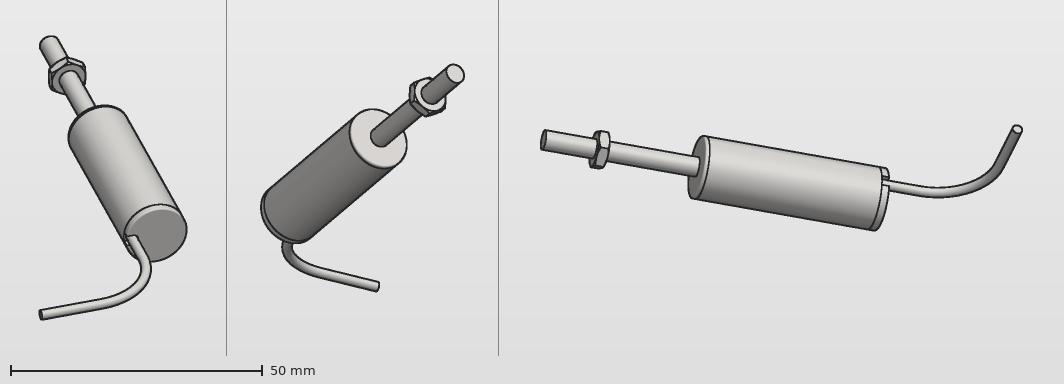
import cadquery as cq
import math


rod_diameter = 4.0
rod_exposed_length = 31.75
rod_insertion = 6.0

nut_across_flats = 7.0
nut_thickness = 2.2
nut_start = 10.5
nut_chamfer_angle = 30.0
nut_sides = 6

housing_diameter = 12.7
body_length = 38.1
front_cap_thickness = 0.8
front_cap_rounding = 0.4
rear_cap_thickness = 1.6
rear_cap_rounding = 0.3

cable_diameter = 2.0
cable_offset = 4.95
cable_end_x = 89.14
cable_bend_radius = 12.7
cable_tail_length = 12.7
cable_slot_width = 2.2

housing_radius = housing_diameter / 2
body_start = rod_exposed_length
housing_start = body_start + front_cap_thickness
body_end = body_start + body_length
housing_end = body_end - rear_cap_thickness


def cylinder_along_x(start, length, diameter):
    """Solid cylinder on the X axis."""
    return cq.Workplane("YZ", origin=(start, 0, 0)).circle(diameter / 2).extrude(length)


def make_rod():
    """Plain rod that enters the front of the housing."""
    return cylinder_along_x(0, rod_exposed_length + rod_insertion, rod_diameter)


def make_nut():
    """Hexagon jam nut with corners up and down, its corners cut by a cone on both faces."""
    half_corner_angle = 180 / nut_sides
    corner_turn = 90
    across_corners = nut_across_flats / math.cos(math.radians(half_corner_angle))
    corner_radius = across_corners / 2
    flat_radius = nut_across_flats / 2
    chamfer_height = (corner_radius - flat_radius) * math.tan(math.radians(nut_chamfer_angle))
    hexagon = (
        cq.Workplane("YZ", origin=(nut_start, 0, 0))
        .transformed(rotate=(0, 0, corner_turn))
        .polygon(nut_sides, across_corners)
        .extrude(nut_thickness)
    )
    chamfer_envelope = (
        cylinder_along_x(nut_start, nut_thickness, across_corners)
        .edges()
        .chamfer(chamfer_height, corner_radius - flat_radius)
    )
    bore = cylinder_along_x(nut_start, nut_thickness, rod_diameter)
    return hexagon.intersect(chamfer_envelope).cut(bore)


def make_front_cap(rod):
    """Thin disc with a rounded front edge, bored for the rod."""
    disc = cylinder_along_x(body_start, front_cap_thickness, housing_diameter)
    return disc.faces("<X").edges().fillet(front_cap_rounding).cut(rod)


def make_housing(rod):
    """Main cylinder with a blind hole for the rod."""
    return cylinder_along_x(housing_start, housing_end - housing_start, housing_diameter).cut(rod)


def make_rear_cap():
    """End disc with a round-bottomed slot, open towards -Y, for the cable."""
    disc = cylinder_along_x(housing_end, rear_cap_thickness, housing_diameter)
    disc = disc.faces(">X").edges().fillet(rear_cap_rounding)
    slot_round = (
        cq.Workplane("YZ", origin=(housing_end, -cable_offset, 0))
        .circle(cable_slot_width / 2)
        .extrude(rear_cap_thickness)
    )
    slot_mouth = (
        cq.Workplane("YZ", origin=(housing_end, -cable_offset - housing_radius / 2, 0))
        .rect(housing_radius, cable_slot_width)
        .extrude(rear_cap_thickness)
    )
    return disc.cut(slot_round).cut(slot_mouth)


def make_cable():
    """Cable that leaves the rear cap along X and bends a quarter turn towards -Y."""
    bend_start_x = cable_end_x - cable_bend_radius
    bend_end_y = -cable_offset - cable_bend_radius
    path = (
        cq.Workplane("XY")
        .moveTo(housing_end, -cable_offset)
        .lineTo(bend_start_x, -cable_offset)
        .tangentArcPoint((cable_end_x, bend_end_y), relative=False)
        .lineTo(cable_end_x, bend_end_y - cable_tail_length)
    )
    section = cq.Workplane("YZ", origin=(housing_end, -cable_offset, 0)).circle(cable_diameter / 2)
    return section.sweep(path)


rod = make_rod()
nut = make_nut()
front_cap = make_front_cap(rod)
housing = make_housing(rod)
rear_cap = make_rear_cap()
cable = make_cable()

result = cq.Compound.makeCompound(
    [rod.val(), nut.val(), front_cap.val(), housing.val(), rear_cap.val(), cable.val()]
)